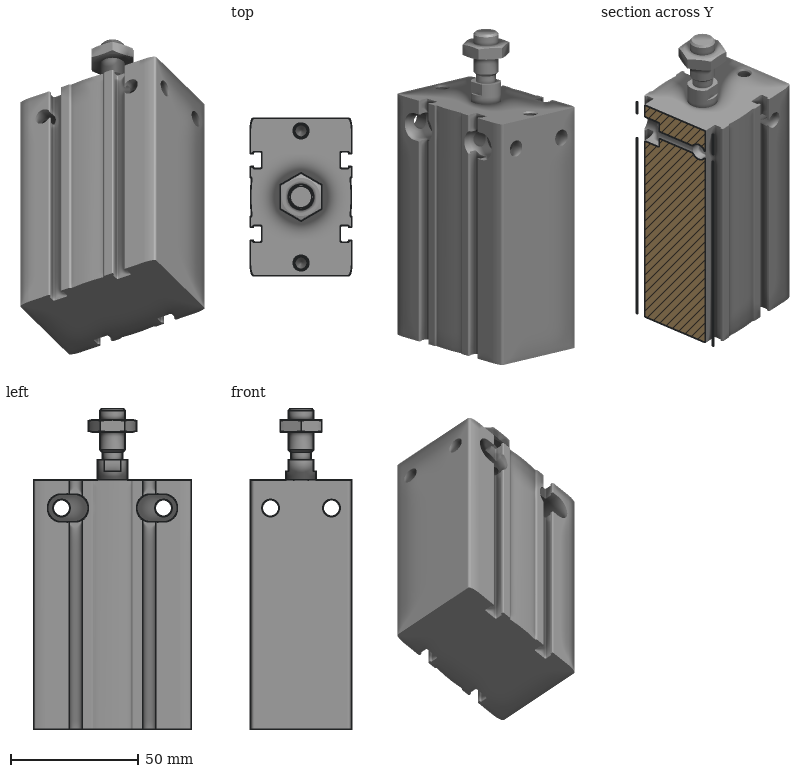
import cadquery as cq
import math


total_height = 126.0
rod_height = 28.0
housing_height = total_height - rod_height
housing_width = 40.0
housing_length = 62.0
half_width = housing_width / 2
half_length = housing_length / 2

corner_arc_radius = 12.6
corner_arc_run = 4.5
corner_fillet = 1.1
corner_arc_drop = corner_arc_radius - math.sqrt(corner_arc_radius**2 - corner_arc_run**2)

band_half_width = 7.0
band_edge_depth = 0.5
band_middle_depth = 0.1
band_step_run = 1.1

slot_offset = 14.5
slot_opening = 5.0
slot_mouth_radius = 0.5
slot_lip = 1.1
slot_cavity_width = 6.4
slot_depth = 4.5
slot_corner_fillet = 0.5

cross_hole_diameter = 6.5
cross_hole_drop = 11.1
cross_hole_z = housing_height - cross_hole_drop
x_hole_offset = 20.0
y_hole_offset = 12.0
pocket_width = 11.0
pocket_inner_center = 15.0
pocket_depth = 12.0

top_hole_offset = 26.0
top_hole_diameter = 4.9
top_hole_mouth_diameter = 6.0
top_hole_depth = 10.0
drill_point_angle = 118.0

rod_diameter = 12.0
neck_diameter = 8.0
thread_diameter = 10.0
tip_diameter = 8.6
tip_chamfer_height = 0.9
shoulder_height = 8.0
neck_length = 2.9
flat_height = 4.5
flats_across = 10.0

nut_across_flats = 16.4
nut_thickness = 5.0
nut_height = 18.6
nut_face_diameter = 15.0
nut_chamfer_height = 0.5


def housing_block():
    """Extruded block whose four corners are arcs blended into the end faces."""
    arc_start = half_length - corner_arc_run
    end_x = half_width - corner_arc_drop
    half_run = corner_arc_run / 2
    arc_mid_drop = corner_arc_radius - math.sqrt(corner_arc_radius**2 - half_run**2)
    arc_mid_x = half_width - arc_mid_drop
    arc_mid_y = arc_start + half_run
    outline = (
        cq.Workplane("XY")
        .moveTo(-end_x, -half_length)
        .lineTo(end_x, -half_length)
        .threePointArc((arc_mid_x, -arc_mid_y), (half_width, -arc_start))
        .lineTo(half_width, arc_start)
        .threePointArc((arc_mid_x, arc_mid_y), (end_x, half_length))
        .lineTo(-end_x, half_length)
        .threePointArc((-arc_mid_x, arc_mid_y), (-half_width, arc_start))
        .lineTo(-half_width, -arc_start)
        .threePointArc((-arc_mid_x, -arc_mid_y), (-end_x, -half_length))
        .close()
    )
    block = outline.extrude(housing_height)
    end_edges = block.faces("<Y or >Y").edges("|Z")
    return end_edges.fillet(corner_fillet)


def side_band():
    """Cutter for the crowned band in the +X face, entered over S-shaped steps."""
    arc_depth = band_edge_depth / 2
    arc_run = band_step_run / 2
    arc_angle = 2 * math.atan(arc_depth / arc_run)
    arc_radius = arc_run / math.sin(arc_angle)
    sag_run = arc_radius * math.sin(arc_angle / 2)
    sag_depth = arc_radius * (1 - math.cos(arc_angle / 2))

    band_x = half_width - band_edge_depth
    step_y = band_half_width + band_step_run
    step_mid_x = half_width - arc_depth
    step_mid_y = band_half_width + arc_run
    upper_sag = (half_width - sag_depth, step_y - sag_run)
    lower_sag = (band_x + sag_depth, band_half_width + sag_run)
    return (
        cq.Workplane("XY")
        .moveTo(half_width, step_y)
        .threePointArc(upper_sag, (step_mid_x, step_mid_y))
        .threePointArc(lower_sag, (band_x, band_half_width))
        .threePointArc((half_width - band_middle_depth, 0), (band_x, -band_half_width))
        .threePointArc((lower_sag[0], -lower_sag[1]), (step_mid_x, -step_mid_y))
        .threePointArc((upper_sag[0], -upper_sag[1]), (half_width, -step_y))
        .close()
        .extrude(housing_height)
    )


def t_slot(side, slot_y):
    """Cutter for one T-slot with a rounded mouth; side is -1 or +1 along X."""
    face_x = side * half_width
    floor_x = face_x - side * slot_depth
    lip_x = face_x - side * slot_mouth_radius
    mouth = slot_opening / 2
    mouth_outer = mouth + slot_mouth_radius
    sag = slot_mouth_radius * (1 - math.sqrt(0.5))
    sag_x = face_x - side * sag
    opening = (
        cq.Workplane("XY")
        .moveTo(face_x, slot_y - mouth_outer)
        .threePointArc((sag_x, slot_y - mouth - sag), (lip_x, slot_y - mouth))
        .lineTo(floor_x, slot_y - mouth)
        .lineTo(floor_x, slot_y + mouth)
        .lineTo(lip_x, slot_y + mouth)
        .threePointArc((sag_x, slot_y + mouth + sag), (face_x, slot_y + mouth_outer))
        .close()
        .extrude(housing_height)
    )
    cavity_depth = slot_depth - slot_lip
    cavity_x = face_x - side * (slot_lip + cavity_depth / 2)
    cavity = (
        cq.Workplane("XY")
        .center(cavity_x, slot_y)
        .rect(cavity_depth, slot_cavity_width)
        .extrude(housing_height)
        .edges("|Z")
        .fillet(slot_corner_fillet)
    )
    return opening.union(cavity)


def cross_holes():
    """Cutters for the through holes along X and along Y, all at one height."""
    along_x = (
        cq.Workplane("YZ", origin=(-half_width, 0, cross_hole_z))
        .pushPoints([(-x_hole_offset, 0), (x_hole_offset, 0)])
        .circle(cross_hole_diameter / 2)
        .extrude(housing_width)
    )
    along_y = (
        cq.Workplane("XZ", origin=(0, half_length, cross_hole_z))
        .pushPoints([(-y_hole_offset, 0), (y_hole_offset, 0)])
        .circle(cross_hole_diameter / 2)
        .extrude(housing_length)
    )
    return along_x.union(along_y)


def screw_pockets():
    """Cutter for the two obround screw-head pockets in the -X face."""
    pocket_center = (x_hole_offset + pocket_inner_center) / 2
    pocket_length = x_hole_offset - pocket_inner_center + pocket_width
    return (
        cq.Workplane("YZ", origin=(-half_width, 0, cross_hole_z))
        .pushPoints([(-pocket_center, 0), (pocket_center, 0)])
        .slot2D(pocket_length, pocket_width)
        .extrude(pocket_depth)
    )


def top_hole(hole_y):
    """Cutter for one blind, countersunk hole with a drill point."""
    radius = top_hole_diameter / 2
    mouth_radius = top_hole_mouth_diameter / 2
    point_length = radius / math.tan(math.radians(drill_point_angle / 2))
    profile = (
        cq.Workplane("XZ")
        .polyline([
            (0, 0),
            (mouth_radius, 0),
            (radius, radius - mouth_radius),
            (radius, -top_hole_depth),
            (0, -top_hole_depth - point_length),
        ])
        .close()
    )
    hole = profile.revolve(360, (0, 0, 0), (0, 1, 0))
    return hole.translate((0, hole_y, housing_height))


def make_housing():
    band = side_band()
    body = housing_block().cut(band).cut(band.mirror("YZ"))
    for slot_y in (-slot_offset, slot_offset):
        for side in (-1, 1):
            body = body.cut(t_slot(side, slot_y))
    body = body.cut(screw_pockets())
    body = body.cut(cross_holes())
    for hole_y in (-top_hole_offset, top_hole_offset):
        body = body.cut(top_hole(hole_y))
    return body


def make_rod():
    """Turned rod standing on the housing top, with two wrench flats."""
    rod_radius = rod_diameter / 2
    neck_radius = neck_diameter / 2
    thread_radius = thread_diameter / 2
    tip_radius = tip_diameter / 2
    neck_top = shoulder_height + neck_length
    profile = (
        cq.Workplane("XZ")
        .polyline([
            (0, 0),
            (rod_radius, 0),
            (rod_radius, shoulder_height),
            (neck_radius, shoulder_height),
            (neck_radius, neck_top),
            (thread_radius, neck_top + thread_radius - neck_radius),
            (thread_radius, rod_height - tip_chamfer_height),
            (tip_radius, rod_height),
            (0, rod_height),
        ])
        .close()
    )
    rod = profile.revolve(360, (0, 0, 0), (0, 1, 0))
    flat_stock = (
        cq.Workplane("XY", origin=(0, 0, shoulder_height - flat_height))
        .rect(rod_diameter, rod_diameter)
        .rect(flats_across, rod_diameter)
        .extrude(flat_height)
    )
    return rod.cut(flat_stock).translate((0, 0, housing_height))


def make_nut():
    """Hexagon nut with conical chamfers on both faces; flats face -X and +X."""
    corner_radius = nut_across_flats / 2 / math.cos(math.radians(30))
    face_radius = nut_face_diameter / 2
    hexagon = (
        cq.Workplane("XY")
        .polygon(6, 2 * corner_radius)
        .extrude(nut_thickness)
        .rotate((0, 0, 0), (0, 0, 1), 30)
    )
    envelope = (
        cq.Workplane("XZ")
        .polyline([
            (0, 0),
            (face_radius, 0),
            (corner_radius, nut_chamfer_height),
            (corner_radius, nut_thickness - nut_chamfer_height),
            (face_radius, nut_thickness),
            (0, nut_thickness),
        ])
        .close()
        .revolve(360, (0, 0, 0), (0, 1, 0))
    )
    bore = cq.Workplane("XY").circle(thread_diameter / 2).extrude(nut_thickness)
    nut = hexagon.intersect(envelope).cut(bore)
    return nut.translate((0, 0, housing_height + nut_height))


housing = make_housing()
rod = make_rod()
nut = make_nut()

result = cq.Compound.makeCompound([housing.val(), rod.val(), nut.val()])